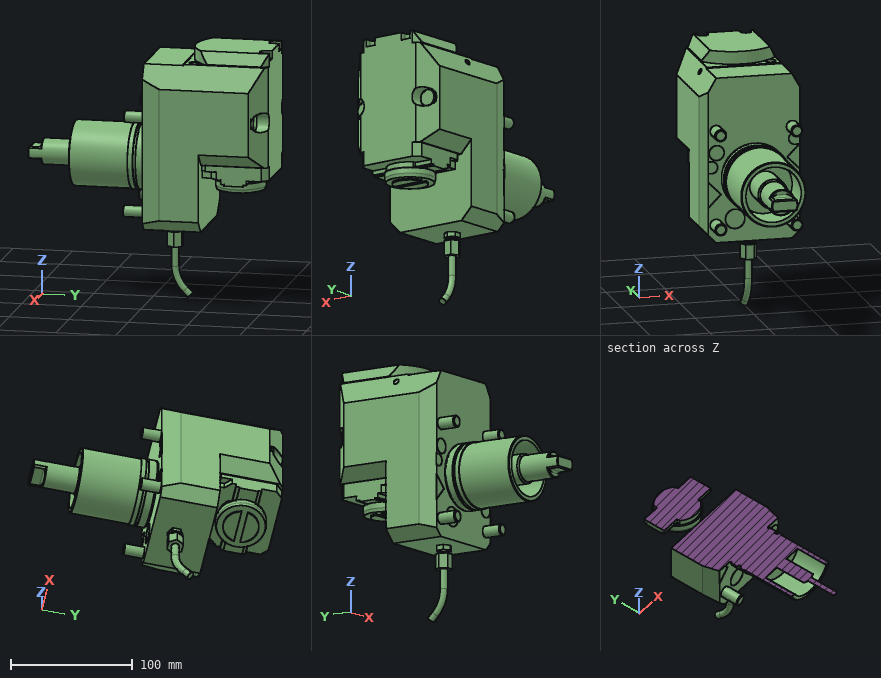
import cadquery as cq
import math


WIDTH = 86.0
HALF_WIDTH = WIDTH / 2
BACK_Y = 104.0
SEAM_Y = 33.2
FRONT_TOP_Z = 84.9
REAR_TOP_Z = 85.7
SHOULDER_Z = 66.2
SHOULDER_SLOPE = math.tan(math.radians(30))
LEG_DEPTH = 48.0
LEG_BOTTOM_Z = -55.0
LEG_CHAMFER = 10.5
HEAD_BOTTOM_Z = 1.3
HEAD_CHAMFER = 11.1
BACK_CHAMFER = 14.0
FRONT_BEVEL_DEPTH = 15.0
FRONT_BEVEL = FRONT_BEVEL_DEPTH * math.tan(math.radians(15))

CAP_TOP_Z = 96.5
CAP_BEVEL_Z = 86.4
CAP_RADIUS = 38.5
CAP_FRONT_Y = 36.9
NOTCH_X = 18.5
NOTCH_WIDTH = 9.2
NOTCH_LENGTH = 9.2
NOTCH_DEPTH = 6.5

SCREW_X = 33.2
SCREW_Z = 39.9
SCREW_BORE = 16.0
SCREW_BORE_DEPTH = 12.2
SCREW_HEAD = 14.1
SCREW_HEAD_HEIGHT = 2.1

SEAT_DEPTH = 0.2
SIDE_PLUG = 5.0
SIDE_PLUG_Y = 43.0
SIDE_PLUG_Z = 80.0
TOP_PLUG = 8.5
TOP_PLUG_AT = (24.5, 41.1)
FACE_PLUGS = [(-31.7, 21.2, 12.6), (32.0, -21.6, 12.6), (-16.0, -35.5, 16.5)]
EDGE_SLOTS = [(-36.0, 9.0), (34.5, 29.5)]
EDGE_SLOT_WIDTH = 10.0
WEDGE_APEX = (28.0, 14.1)

PIN = 9.9
PIN_X = 32.4
PIN_Z = 39.9
UPPER_PIN_LENGTH = 16.0
LOWER_PIN_LENGTH = 17.0
PIN_CHAMFER = 0.9

SLEEVE = 54.9
COLLAR = 56.1
SLEEVE_NECK = 54.0
GROOVE = 51.9
SLEEVE_BORE = 47.0
NECK_END = 1.3
GROOVE_START = 8.1
GROOVE_END = 10.5
COLLAR_END = 14.8
SLEEVE_END = 64.3
SLEEVE_CHAMFER = 0.6
BORE_DEPTH = 30.0
SHAFT = 22.0
SHAFT_COLLAR = 25.0
SHAFT_COLLAR_END = 63.5
SHAFT_COLLAR_CHAMFER = 1.3
SHAFT_END = 101.8
TANG_LENGTH = 10.7
TANG_THICKNESS = 10.3
TANG_FILLET = 2.0
SHOULDER_CHAMFER = 0.6
TANG_FLAT_WIDTH = 16.5
TANG_BEVEL = 1.0
TIP_CHAMFER = 0.6

PLATE_HALF_WIDTH = 31.0
PLATE_BOTTOM_Z = -10.5
PLATE_CHAMFER = 5.5
RELIEF_Y = 60.9
RELIEF_Z = -4.0
RELIEF_DEPTH = 5.4
RELIEF_SLIT_Y = 51.5
RELIEF_SLIT_DEPTH = 3.2
TOOL_Y = 75.0
TAB_WIDTH = 21.5
TAB_BOTTOM_Z = -14.1
TAB_STEP_WIDTH = 15.9
TAB_STEP_BOTTOM_Z = -15.5
NUT_NECK = 39.2
NECK_FLATS = 28.3
NECK_FLATS_BOTTOM_Z = -14.1
NUT = 42.0
NUT_TOP_Z = -15.5
NUT_BOTTOM_Z = -23.4
NUT_CHAMFER_WIDTH = 0.9
NUT_CHAMFER_HEIGHT = 3.2
COLLET = 29.5
COLLET_BOTTOM_Z = -24.6
COLLET_SLOT = 5.1

FITTING_Y = 19.7
ADAPTER_FLATS = 11.4
ADAPTER_BOTTOM_Z = -59.1
FITTING_NECK = 8.8
FITTING_RING = 9.9
RING_TOP_Z = -60.6
HOSE_NUT_TOP_Z = -62.0
HOSE_NUT_FLATS = 12.2
HOSE_NUT_BOTTOM_Z = -74.5
HOSE = 6.5
HOSE_BEND_RADIUS = 27.9
HOSE_TAIL = 6.6
HOSE_END_Z = -117.9


def box(x, y, z):
    """Box between the (low, high) pairs of the three axes."""
    size = (x[1] - x[0], y[1] - y[0], z[1] - z[0])
    return cq.Workplane("XY").box(*size, centered=False).translate((x[0], y[0], z[0]))


def rod(diameter, y_from, y_to, x=0, z=0):
    """Cylinder along Y."""
    plane = cq.Workplane("XZ", origin=(x, y_to, z))
    return plane.circle(diameter / 2).extrude(y_to - y_from)


def post(diameter, z_bottom, z_top, x=0, y=0):
    """Cylinder along Z."""
    plane = cq.Workplane("XY", origin=(x, y, z_bottom))
    return plane.circle(diameter / 2).extrude(z_top - z_bottom)


def mirrored(points):
    """Close an outline from its right half, listed from one end of the mirror line to the other."""
    return points + [(-x, y) for x, y in reversed(points)]


def slope_x(z):
    """Half width of the sloped shoulders at height z."""
    return HALF_WIDTH - (z - SHOULDER_Z) * SHOULDER_SLOPE


def body_block(y_from, y_to, z_bottom, z_top, chamfer):
    """Housing section with sloped shoulders and chamfered lower edges."""
    half = [
        (HALF_WIDTH - chamfer, z_bottom),
        (HALF_WIDTH, z_bottom + chamfer),
        (HALF_WIDTH, SHOULDER_Z),
        (slope_x(z_top), z_top),
    ]
    plane = cq.Workplane("XZ", origin=(0, y_to, 0))
    return plane.polyline(mirrored(half)).close().extrude(y_to - y_from)


def make_housing():
    leg_front = body_block(0, SEAM_Y, LEG_BOTTOM_Z, FRONT_TOP_Z, LEG_CHAMFER)
    leg_rear = body_block(SEAM_Y, LEG_DEPTH, LEG_BOTTOM_Z, REAR_TOP_Z, LEG_CHAMFER)
    head = body_block(LEG_DEPTH, BACK_Y, HEAD_BOTTOM_Z, REAR_TOP_Z, HEAD_CHAMFER)
    plan_half = [
        (HALF_WIDTH - FRONT_BEVEL, 0),
        (HALF_WIDTH, FRONT_BEVEL_DEPTH),
        (HALF_WIDTH, BACK_Y - BACK_CHAMFER),
        (HALF_WIDTH - BACK_CHAMFER, BACK_Y),
    ]
    plan = cq.Workplane("XY", origin=(0, 0, LEG_BOTTOM_Z)).polyline(mirrored(plan_half)).close()
    return leg_front.union(leg_rear).union(head).intersect(plan.extrude(CAP_TOP_Z - LEG_BOTTOM_Z))


def make_cap():
    """Cap with a rounded front, sides in line with the shoulders and two notches at the back."""
    bottom_x = slope_x(CAP_BEVEL_Z)
    top_x = slope_x(CAP_TOP_Z)
    center_y = CAP_FRONT_Y + CAP_RADIUS
    side_y = center_y - math.sqrt(CAP_RADIUS**2 - bottom_x**2)
    corner = bottom_x - top_x
    plan = (
        cq.Workplane("XY", origin=(0, 0, REAR_TOP_Z))
        .moveTo(-bottom_x, side_y)
        .threePointArc((0, CAP_FRONT_Y), (bottom_x, side_y))
        .lineTo(bottom_x, BACK_Y - corner)
        .lineTo(top_x, BACK_Y)
        .lineTo(-top_x, BACK_Y)
        .lineTo(-bottom_x, BACK_Y - corner)
        .close()
        .extrude(CAP_TOP_Z - REAR_TOP_Z)
    )
    half = [(bottom_x, REAR_TOP_Z), (bottom_x, CAP_BEVEL_Z), (top_x, CAP_TOP_Z)]
    profile = cq.Workplane("XZ", origin=(0, BACK_Y, 0)).polyline(mirrored(half)).close()
    cap = plan.intersect(profile.extrude(BACK_Y))

    notch_z = CAP_TOP_Z - NOTCH_DEPTH
    round_y = BACK_Y - NOTCH_LENGTH + NOTCH_WIDTH / 2
    for x in (-NOTCH_X, NOTCH_X):
        sides = (x - NOTCH_WIDTH / 2, x + NOTCH_WIDTH / 2)
        cap = cap.cut(box(sides, (round_y, BACK_Y), (notch_z, CAP_TOP_Z)))
        cap = cap.cut(post(NOTCH_WIDTH, notch_z, CAP_TOP_Z, x, round_y))
    return cap


def sink_screws(body):
    floor_y = BACK_Y - SCREW_BORE_DEPTH
    bore = rod(SCREW_BORE, floor_y, BACK_Y, SCREW_X, SCREW_Z)
    head = rod(SCREW_HEAD, floor_y, floor_y + SCREW_HEAD_HEIGHT, SCREW_X, SCREW_Z)
    body = body.cut(bore).cut(bore.mirror("YZ"))
    return body.union(head).union(head.mirror("YZ"))


def mark_face_plugs(body):
    """Shallow seats on the mounting face: round plugs, edge slots and corner wedges."""
    edge_x = HALF_WIDTH - FRONT_BEVEL
    for x, z, diameter in FACE_PLUGS:
        body = body.cut(rod(diameter, 0, SEAT_DEPTH, x, z))
    for x, z in EDGE_SLOTS:
        sides = sorted((x, math.copysign(edge_x, x)))
        heights = (z - EDGE_SLOT_WIDTH / 2, z + EDGE_SLOT_WIDTH / 2)
        body = body.cut(rod(EDGE_SLOT_WIDTH, 0, SEAT_DEPTH, x, z))
        body = body.cut(box(sides, (0, SEAT_DEPTH), heights))
    apex_x, apex_z = WEDGE_APEX
    reach = edge_x - apex_x
    for side in (-1, 1):
        wedge = [
            (side * apex_x, side * apex_z),
            (side * edge_x, side * apex_z + reach),
            (side * edge_x, side * apex_z - reach),
        ]
        plane = cq.Workplane("XZ", origin=(0, SEAT_DEPTH, 0))
        body = body.cut(plane.polyline(wedge).close().extrude(SEAT_DEPTH))
    return body


def mark_upper_plugs(body):
    """Shallow seats on the left shoulder and on the rear top face."""
    shoulder = cq.Plane(
        origin=(-slope_x(SIDE_PLUG_Z), SIDE_PLUG_Y, SIDE_PLUG_Z),
        xDir=(0, 1, 0),
        normal=(-1, 0, SHOULDER_SLOPE),
    )
    body = body.cut(cq.Workplane(shoulder).circle(SIDE_PLUG / 2).extrude(-SEAT_DEPTH))
    return body.cut(post(TOP_PLUG, REAR_TOP_Z - SEAT_DEPTH, REAR_TOP_Z, *TOP_PLUG_AT))


def make_pins():
    pins = cq.Workplane("XY")
    for z, length in ((PIN_Z, UPPER_PIN_LENGTH), (-PIN_Z, LOWER_PIN_LENGTH)):
        for x in (-PIN_X, PIN_X):
            pin = rod(PIN, -length, SEAT_DEPTH, x, z)
            pins = pins.union(pin.faces("<Y").chamfer(PIN_CHAMFER))
    return pins


def make_sleeve():
    """Hollow sleeve with a grooved collar at the mounting face."""
    sleeve = rod(SLEEVE, -SLEEVE_END, 0).faces("<Y").edges().chamfer(SLEEVE_CHAMFER)
    sleeve = sleeve.union(rod(COLLAR, -COLLAR_END, 0))
    for diameter, start, end in ((SLEEVE_NECK, 0, NECK_END), (GROOVE, GROOVE_START, GROOVE_END)):
        ring = rod(COLLAR, -end, -start).cut(rod(diameter, -end, -start))
        sleeve = sleeve.cut(ring)
    return sleeve.cut(rod(SLEEVE_BORE, -SLEEVE_END, BORE_DEPTH - SLEEVE_END))


def make_shaft():
    """Drive shaft with a collar inside the sleeve and a flat tang at the tip."""
    collar = rod(SHAFT_COLLAR, -SHAFT_COLLAR_END, BORE_DEPTH - SLEEVE_END)
    collar = collar.faces("<Y").chamfer(SHAFT_COLLAR_CHAMFER)
    shaft = rod(SHAFT, -SHAFT_END, BORE_DEPTH - SLEEVE_END).faces("<Y").chamfer(TIP_CHAMFER)
    shoulder_y = TANG_LENGTH - SHAFT_END
    half_width = TANG_FLAT_WIDTH / 2
    flat_z = TANG_THICKNESS / 2
    waste_half = [
        (half_width, flat_z),
        (half_width + 2 * TANG_BEVEL, flat_z - TANG_BEVEL),
        (SHAFT, flat_z - TANG_BEVEL),
        (SHAFT, SHAFT),
    ]
    plane = cq.Workplane("XZ", origin=(0, shoulder_y, 0))
    waste = plane.polyline(mirrored(waste_half)).close().extrude(TANG_LENGTH)
    waste = waste.edges(cq.selectors.NearestToPointSelector((0, shoulder_y, flat_z))).fillet(TANG_FILLET)
    shaft = shaft.cut(waste).cut(waste.mirror("XY"))
    shaft = shaft.faces("<Y").edges("|X").chamfer(TANG_BEVEL)
    for side in (-1, 1):
        shoulder_rim = cq.selectors.NearestToPointSelector((0, shoulder_y, side * SHAFT / 2))
        shaft = shaft.edges(shoulder_rim).chamfer(SHOULDER_CHAMFER)
    return shaft.union(collar)


def make_plate():
    """Plate under the head with chamfered back corners, relieved front corners and a stepped tab."""
    plate = box((-PLATE_HALF_WIDTH, PLATE_HALF_WIDTH), (LEG_DEPTH, BACK_Y), (PLATE_BOTTOM_Z, HEAD_BOTTOM_Z))
    plate = plate.edges("|Z and >Y").chamfer(PLATE_CHAMFER)
    inner_x = PLATE_HALF_WIDTH - RELIEF_DEPTH
    for side in (-1, 1):
        relief = [
            (side * inner_x, LEG_DEPTH),
            (side * inner_x, RELIEF_Y - RELIEF_DEPTH),
            (side * PLATE_HALF_WIDTH, RELIEF_Y),
            (side * PLATE_HALF_WIDTH, LEG_DEPTH),
        ]
        plane = cq.Workplane("XY", origin=(0, 0, PLATE_BOTTOM_Z))
        plate = plate.cut(plane.polyline(relief).close().extrude(RELIEF_Z - PLATE_BOTTOM_Z))
        sides = sorted((side * (PLATE_HALF_WIDTH - RELIEF_SLIT_DEPTH), side * PLATE_HALF_WIDTH))
        plate = plate.cut(box(sides, (LEG_DEPTH, RELIEF_SLIT_Y), (RELIEF_Z, HEAD_BOTTOM_Z)))
    for width, bottom in ((TAB_WIDTH, TAB_BOTTOM_Z), (TAB_STEP_WIDTH, TAB_STEP_BOTTOM_Z)):
        depth = (TOOL_Y - width / 2, TOOL_Y + width / 2)
        plate = plate.union(box((-PLATE_HALF_WIDTH, PLATE_HALF_WIDTH), depth, (bottom, PLATE_BOTTOM_Z)))
    return plate


def make_tool_nut():
    """Clamping nut with the slotted collet face below it."""
    nut = post(NUT, NUT_BOTTOM_Z, NUT_TOP_Z, 0, TOOL_Y)
    nut = nut.faces("<Z").edges().chamfer(NUT_CHAMFER_HEIGHT, NUT_CHAMFER_WIDTH)
    neck_round = post(NUT_NECK, NUT_TOP_Z, NECK_FLATS_BOTTOM_Z, 0, TOOL_Y)
    neck_flat = post(NUT_NECK, NECK_FLATS_BOTTOM_Z, PLATE_BOTTOM_Z, 0, TOOL_Y)
    between_flats = (-NECK_FLATS / 2, NECK_FLATS / 2)
    neck_flat = neck_flat.intersect(box(between_flats, (LEG_DEPTH, BACK_Y), (NUT_BOTTOM_Z, 0)))
    nut = nut.union(neck_round).union(neck_flat)
    collet = post(COLLET, COLLET_BOTTOM_Z, NUT_BOTTOM_Z, 0, TOOL_Y)
    slot_y = (TOOL_Y - COLLET_SLOT / 2, TOOL_Y + COLLET_SLOT / 2)
    slot = box((-COLLET / 2, COLLET / 2), slot_y, (COLLET_BOTTOM_Z, NUT_BOTTOM_Z))
    return nut.union(collet.cut(slot))


def hexagon(flats, z_bottom, z_top, turn):
    """Hexagonal prism on the fitting axis; turned by 0 degrees its corners point along X."""
    prism = cq.Workplane("XY").polygon(6, flats / math.cos(math.pi / 6)).extrude(z_top - z_bottom)
    return prism.rotate((0, 0, 0), (0, 0, 1), turn).translate((0, FITTING_Y, z_bottom))


def make_fitting():
    adapter = hexagon(ADAPTER_FLATS, ADAPTER_BOTTOM_Z, LEG_BOTTOM_Z, 90)
    neck = post(FITTING_NECK, RING_TOP_Z, ADAPTER_BOTTOM_Z, 0, FITTING_Y)
    ring = post(FITTING_RING, HOSE_NUT_TOP_Z, RING_TOP_Z, 0, FITTING_Y)
    hose_nut = hexagon(HOSE_NUT_FLATS, HOSE_NUT_BOTTOM_Z, HOSE_NUT_TOP_Z, 0)
    return adapter.union(neck).union(ring).union(hose_nut)


def make_hose():
    """Hose that runs down and then bends 45 degrees towards the back."""
    diagonal = math.sqrt(0.5)
    tail = HOSE_TAIL * diagonal
    end_z = HOSE_END_Z + HOSE / 2 * diagonal
    bend_end = (FITTING_Y + HOSE_BEND_RADIUS * (1 - diagonal), end_z + tail)
    bend_start_z = bend_end[1] + HOSE_BEND_RADIUS * diagonal
    path = (
        cq.Workplane("YZ")
        .moveTo(FITTING_Y, HOSE_NUT_BOTTOM_Z)
        .lineTo(FITTING_Y, bend_start_z)
        .tangentArcPoint(bend_end, relative=False)
        .lineTo(bend_end[0] + tail, end_z)
    )
    start = cq.Workplane("XY", origin=(0, FITTING_Y, HOSE_NUT_BOTTOM_Z))
    return start.circle(HOSE / 2).sweep(path)


body = mark_upper_plugs(mark_face_plugs(sink_screws(make_housing())))
parts = [
    make_cap(),
    make_pins(),
    make_sleeve(),
    make_shaft(),
    make_plate(),
    make_tool_nut(),
    make_fitting(),
    make_hose(),
]
for part in parts:
    body = body.union(part)
result = body